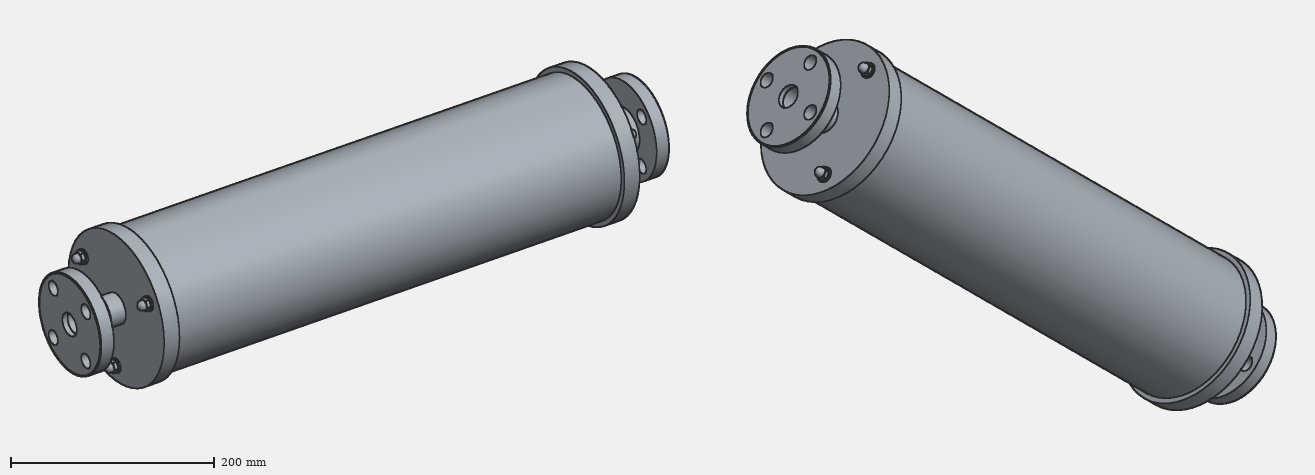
import cadquery as cq
import math

overall_length = 683.0

flange_diameter = 108.0
flange_thickness = 16.0
raised_face_diameter = 105.0
raised_face_height = 1.0
bolt_hole_diameter = 16.0
bolt_hole_spacing = 56.0
bolt_holes_per_side = 2

mouth_diameter = 24.5
mouth_depth = 6.0
pipe_bore_diameter = 24.0

hub_diameter = 49.0
hub_length = 18.0
pipe_diameter = 33.5
pipe_length = 22.5

plate_diameter = 165.0
plate_thickness = 18.5
shell_diameter = 154.0

nut_count = 3
first_nut_angle = 30.0
nut_circle_radius = 65.0
washer_diameter = 16.0
washer_thickness = 2.0
nut_across_corners = 13.5
nut_thickness = 4.0
cap_collar_height = 1.5
dome_radius = 5.5

half_length = overall_length / 2
flange_back = half_length - flange_thickness
hub_back = flange_back - hub_length
plate_face = hub_back - pipe_length
plate_back = plate_face - plate_thickness


def cylinder(diameter, start, end):
    """Cylinder on the local Z axis between two heights."""
    return cq.Workplane("XY").workplane(offset=start).circle(diameter / 2).extrude(end - start)


def make_domed_nut():
    """Washer and hexagon nut with a short collar and hemispherical cap, standing on Z = 0."""
    nut_top = washer_thickness + nut_thickness
    washer = cylinder(washer_diameter, 0, washer_thickness)
    hexagon = cq.Workplane("XY").polygon(6, nut_across_corners).extrude(nut_top)
    dome_base = nut_top + cap_collar_height
    collar = cylinder(2 * dome_radius, nut_top, dome_base)
    dome = cq.Workplane("XY").sphere(dome_radius).translate((0, 0, dome_base))
    return washer.union(hexagon).union(collar).union(dome)


def make_flange():
    """Flange disc with a raised face and a square pattern of bolt holes."""
    shoulder = half_length - raised_face_height
    disc = cylinder(flange_diameter, flange_back, shoulder)
    raised_face = cylinder(raised_face_diameter, shoulder, half_length)
    bolt_holes = (
        cq.Workplane("XY").workplane(offset=flange_back)
        .rarray(bolt_hole_spacing, bolt_hole_spacing, bolt_holes_per_side, bolt_holes_per_side)
        .circle(bolt_hole_diameter / 2)
        .extrude(flange_thickness)
    )
    return disc.union(raised_face).cut(bolt_holes)


def make_end():
    """End plate, nuts, neck and flange, turned so that the flange faces -Y."""
    end = cylinder(plate_diameter, plate_back, plate_face)
    end = end.union(cylinder(pipe_diameter, plate_face, hub_back))
    end = end.union(cylinder(hub_diameter, hub_back, flange_back))
    end = end.union(make_flange())

    nut = make_domed_nut()
    for i in range(nut_count):
        angle = math.radians(first_nut_angle + i * 360 / nut_count)
        x = nut_circle_radius * math.cos(angle)
        y = nut_circle_radius * math.sin(angle)
        end = end.union(nut.translate((x, y, plate_face)))

    mouth_floor = half_length - mouth_depth
    end = end.cut(cylinder(mouth_diameter, mouth_floor, half_length))
    end = end.cut(cylinder(pipe_bore_diameter, plate_back, mouth_floor))
    return end.rotate((0, 0, 0), (1, 0, 0), 90)


shell = cylinder(shell_diameter, -plate_back, plate_back).rotate((0, 0, 0), (1, 0, 0), 90)
front_end = make_end()
back_end = front_end.mirror("XZ")
result = shell.union(front_end).union(back_end)